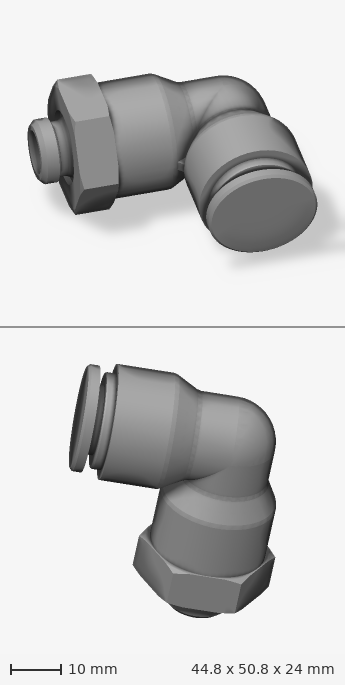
import cadquery as cq
import math


overall_length = 50.75

elbow_radius = 9.05
socket_radius = 23.5 / 2
shoulder_start = 7.9
shoulder_end = 13.0
leg_length = 24.95
blend_radius = 2.0

web_thickness = 2.0
web_reach = 24.0

hex_across_flats = 24.0
hex_height = 8.0
hex_face_radius = 12.55
hex_chamfer_height = 0.5
recess_mouth_radius = 7.6
recess_floor_radius = 7.3
recess_depth = 1.0

neck_radius = 11.2 / 2
neck_foot_radius = 6.3
neck_foot_height = 0.45
thread_start = 2.6
thread_lead_in = 0.55
thread_radius = 13.15 / 2
tip_radius = neck_radius
bore_radius = 8.0 / 2
bore_chamfer = 0.55

ring_radius = 19.6 / 2
ring_width = 2.05
ring_chamfer_length = 0.3
ring_chamfer_depth = 0.15

collar_neck_radius = 14.2 / 2
flange_start = 3.6
flange_end = 5.95
flange_size_y = 22.55
flange_size_z = 19.5
flange_chamfer = 0.5

hex_back = -leg_length
hex_front = hex_back - hex_height
recess_floor = hex_front + recess_depth
stud_tip = socket_radius - overall_length


def revolve_about_x(points):
    """Solid of revolution about X from a closed (x, radius) profile."""
    return cq.Workplane("XY").polyline(points).close().revolve(360, (0, 0), (1, 0))


def revolve_about_y(points):
    """Solid of revolution about Y from a closed (radius, y) profile."""
    return cq.Workplane("XY").polyline(points).close().revolve(360, (0, 0), (0, 1))


def make_tube_leg():
    """Stepped leg along +X with both shoulder edges blended."""
    leg = revolve_about_x([
        (0, 0),
        (0, elbow_radius),
        (shoulder_start, elbow_radius),
        (shoulder_end, socket_radius),
        (leg_length, socket_radius),
        (leg_length, 0),
    ])
    axis_tolerance = 0.25
    shoulder_circles = cq.selectors.BoxSelector(
        (shoulder_start / 2, -axis_tolerance, -axis_tolerance),
        ((shoulder_end + leg_length) / 2, axis_tolerance, axis_tolerance),
    )
    return leg.edges(shoulder_circles).fillet(blend_radius)


def make_web():
    """Flat triangle in the inner corner, its two outer corners buried in the shoulders."""
    return (
        cq.Workplane("XY")
        .polyline([
            (shoulder_start, -shoulder_start),
            (shoulder_end, shoulder_end - web_reach),
            (web_reach - shoulder_end, -shoulder_end),
        ])
        .close()
        .extrude(web_thickness / 2, both=True)
    )


def make_housing():
    tube_leg = make_tube_leg()
    stud_leg = tube_leg.rotate((0, 0, 0), (0, 0, 1), -90)
    ball = cq.Workplane("XY").sphere(elbow_radius)
    return ball.union(tube_leg).union(stud_leg).union(make_web())


def make_hexagon():
    """Hexagon with chamfered corners on both faces and a recess round the spigot."""
    corner_radius = hex_across_flats / math.sqrt(3)
    prism = (
        cq.Workplane("XZ", origin=(0, hex_back, 0))
        .polygon(6, 2 * corner_radius)
        .extrude(hex_height)
    )
    chamfer_envelope = revolve_about_y([
        (0, hex_back),
        (hex_face_radius, hex_back),
        (corner_radius, hex_back - hex_chamfer_height),
        (corner_radius, hex_front + hex_chamfer_height),
        (hex_face_radius, hex_front),
        (0, hex_front),
    ])
    recess = revolve_about_y([
        (0, hex_front),
        (recess_mouth_radius, hex_front),
        (recess_floor_radius, recess_floor),
        (0, recess_floor),
    ])
    return prism.intersect(chamfer_envelope).cut(recess)


def make_spigot():
    """Neck with a conical foot, then the thread with a 45 degree tip chamfer."""
    tip_chamfer = thread_radius - tip_radius
    return revolve_about_y([
        (0, recess_floor),
        (neck_foot_radius, recess_floor),
        (neck_radius, hex_front - neck_foot_height),
        (neck_radius, hex_front - thread_start + thread_lead_in),
        (thread_radius, hex_front - thread_start),
        (thread_radius, stud_tip + tip_chamfer),
        (tip_radius, stud_tip),
        (0, stud_tip),
    ])


def make_stud():
    """Hexagon and spigot with a bore right through, closed by the end of the housing."""
    bore = revolve_about_y([
        (0, hex_back),
        (bore_radius, hex_back),
        (bore_radius, stud_tip + bore_chamfer),
        (bore_radius + bore_chamfer, stud_tip),
        (0, stud_tip),
    ])
    return make_hexagon().union(make_spigot()).cut(bore)


def make_retaining_ring():
    ring_end = leg_length + ring_width
    return revolve_about_x([
        (leg_length, collar_neck_radius),
        (leg_length, ring_radius),
        (ring_end - ring_chamfer_length, ring_radius),
        (ring_end, ring_radius - ring_chamfer_depth),
        (ring_end, collar_neck_radius),
    ])


def make_release_collar():
    neck = (
        cq.Workplane("YZ", origin=(leg_length, 0, 0))
        .circle(collar_neck_radius)
        .extrude(flange_start)
    )
    flange = (
        cq.Workplane("YZ", origin=(leg_length + flange_start, 0, 0))
        .ellipse(flange_size_y / 2, flange_size_z / 2)
        .extrude(flange_end - flange_start)
        .faces(">X")
        .chamfer(flange_chamfer)
    )
    return neck.union(flange)


housing = make_housing()
stud = make_stud()
retaining_ring = make_retaining_ring()
release_collar = make_release_collar()

result = cq.Compound.makeCompound([
    housing.val(),
    stud.val(),
    retaining_ring.val(),
    release_collar.val(),
])